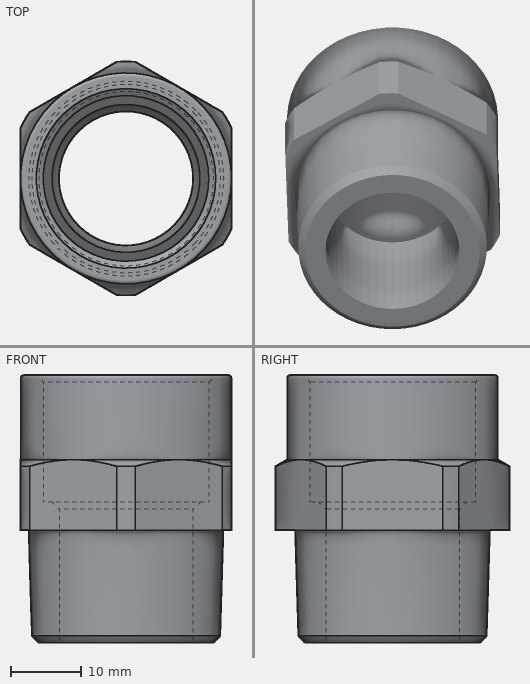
import cadquery as cq
import math

total_height = 38.0
hex_bottom = 16.0
hex_top = 26.0

across_flats = 30.0
across_corners = 33.2
hex_chamfer_angle = 30.0

collar_radius = 14.97
rim_fillet = 0.5

spigot_top_radius = 13.85
spigot_end_radius = 13.38
spigot_chamfer = 1.0

socket_radius = 11.75
socket_depth = 18.0
through_radius = 9.5
bore_chamfer = 1.0


def revolve_profile(points):
    """Revolve a closed (radius, height) outline about the Z axis."""
    return cq.Workplane("XZ").polyline(points).close().revolve(360, (0, 0, 0), (0, 1, 0))


def make_collar():
    collar = (
        cq.Workplane("XY")
        .workplane(offset=hex_bottom)
        .circle(collar_radius)
        .extrude(total_height - hex_bottom)
    )
    return collar.faces(">Z").edges().fillet(rim_fillet)


def make_hexagon():
    """Hexagon with flats facing +/-X, rounded corners and a conical top chamfer."""
    sharp_corner_diameter = across_flats / math.cos(math.radians(30))
    prism = (
        cq.Workplane("XY")
        .workplane(offset=hex_bottom)
        .transformed(rotate=(0, 0, 30))
        .polygon(6, sharp_corner_diameter)
        .extrude(hex_top - hex_bottom)
    )
    corner_radius = across_corners / 2
    chamfer_drop = (corner_radius - collar_radius) * math.tan(math.radians(hex_chamfer_angle))
    envelope = revolve_profile([
        (0, hex_bottom),
        (corner_radius, hex_bottom),
        (corner_radius, hex_top - chamfer_drop),
        (collar_radius, hex_top),
        (0, hex_top),
    ])
    return prism.intersect(envelope)


def make_spigot():
    return revolve_profile([
        (0, 0),
        (spigot_end_radius - spigot_chamfer, 0),
        (spigot_end_radius, spigot_chamfer),
        (spigot_top_radius, hex_bottom),
        (0, hex_bottom),
    ])


def make_bore():
    socket_floor = total_height - socket_depth
    return revolve_profile([
        (0, 0),
        (through_radius, 0),
        (through_radius, socket_floor - bore_chamfer),
        (through_radius + bore_chamfer, socket_floor),
        (socket_radius, socket_floor),
        (socket_radius, total_height - bore_chamfer),
        (socket_radius + bore_chamfer, total_height),
        (0, total_height),
    ])


result = make_collar().union(make_hexagon()).union(make_spigot()).cut(make_bore())